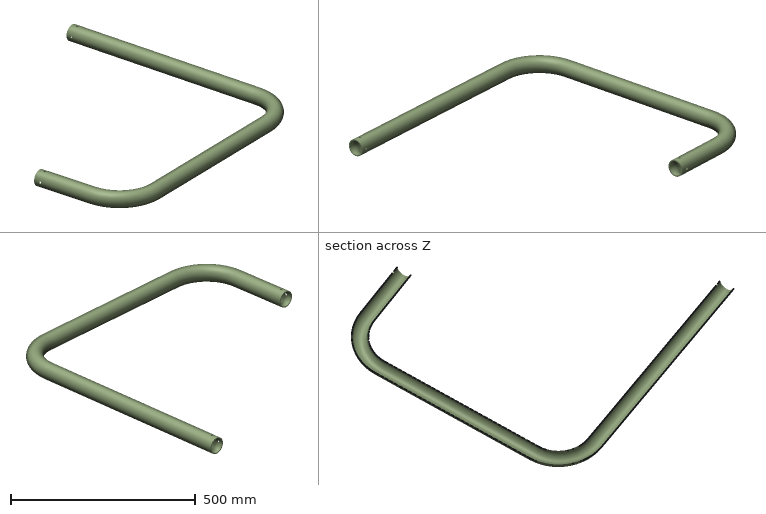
import cadquery as cq
import math

tube_diameter = 48.3
wall = 3.2
bore_diameter = tube_diameter - 2 * wall

overall_x = 774.15
overall_y = 798.2

bend_radius = 120.0
splay = math.radians(0.5)
leg_end_gap = 450.0

top_hole_distance = 18.0
top_hole_diameter = 6.0
long_front_hole_distance = 15.0
long_front_hole_diameter = 6.0
short_front_hole_distance = 20.0
short_front_hole_diameter = 8.0

tube_radius = tube_diameter / 2
bend_center_x = -bend_radius
turn_angle = math.pi / 2 - splay


def leg_length(overhang):
    """Straight leg length whose end face reaches `overhang` from the outside of the spine."""
    bend_run = bend_radius * (1 - math.sin(splay))
    end_face_run = tube_radius * math.sin(splay)
    return (overhang - tube_radius - bend_run - end_face_run) / math.cos(splay)


long_leg = leg_length(overall_x)
short_leg = leg_length(overall_x - leg_end_gap)

legs_rise = (long_leg + short_leg) * math.sin(splay)
bends_rise = 2 * (bend_radius + tube_radius) * math.cos(splay)
spine_length = overall_y - legs_rise - bends_rise


def half_path(side, leg):
    """Points on one half of the centre line; side is +1 (towards +Y) or -1."""
    bend_center_y = side * spine_length / 2

    def on_bend(angle):
        x = bend_center_x + bend_radius * math.cos(angle)
        return (x, bend_center_y + side * bend_radius * math.sin(angle))

    bend_start = on_bend(0)
    bend_middle = on_bend(turn_angle / 2)
    bend_end = on_bend(turn_angle)
    leg_end = (
        bend_end[0] - leg * math.cos(splay),
        bend_end[1] + side * leg * math.sin(splay),
    )
    return bend_start, bend_middle, bend_end, leg_end


long_path = half_path(1, long_leg)
short_path = half_path(-1, short_leg)


def make_tube():
    """Round tube swept along the bent centre line."""
    long_start, long_middle, long_bend_end, long_end = long_path
    short_start, short_middle, short_bend_end, short_end = short_path
    path = (
        cq.Workplane("XY")
        .moveTo(*long_end)
        .lineTo(*long_bend_end)
        .threePointArc(long_middle, long_start)
        .lineTo(*short_start)
        .threePointArc(short_middle, short_bend_end)
        .lineTo(*short_end)
    )
    end_plane = cq.Plane(
        origin=(*long_end, 0),
        xDir=(0, 0, 1),
        normal=(math.cos(splay), -math.sin(splay), 0),
    )
    section = cq.Workplane(end_plane).circle(tube_radius).circle(bore_diameter / 2)
    return section.sweep(path)


def leg_hole(side, leg_end, end_distance, diameter, direction):
    """Hole through one wall of a leg, drilled from its axis outwards along `direction`."""
    center = cq.Vector(
        leg_end[0] + end_distance * math.cos(splay),
        leg_end[1] - side * end_distance * math.sin(splay),
        0,
    )
    return cq.Solid.makeCylinder(diameter / 2, tube_diameter, center, direction)


up = cq.Vector(0, 0, 1)


def drill_leg(tube, side, leg_end, front_distance, front_diameter):
    """Drill the top hole and the -Y facing hole of one leg."""
    front = cq.Vector(-side * math.sin(splay), -math.cos(splay), 0)
    top_hole = leg_hole(side, leg_end, top_hole_distance, top_hole_diameter, up)
    front_hole = leg_hole(side, leg_end, front_distance, front_diameter, front)
    return tube.cut(top_hole).cut(front_hole)


tube = make_tube()
tube = drill_leg(tube, 1, long_path[-1], long_front_hole_distance, long_front_hole_diameter)
result = drill_leg(tube, -1, short_path[-1], short_front_hole_distance, short_front_hole_diameter)